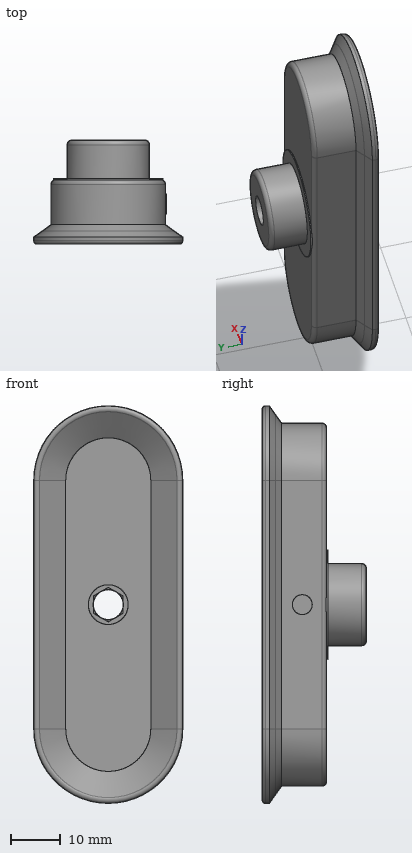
import cadquery as cq
import math

LENGTH = 80.0
WIDTH = 30.0
DEPTH = 21.0
END_OFFSET = (LENGTH - WIDTH) / 2

RIM_RADIUS = WIDTH / 2
RIM_ROUND = 0.7
RIM_EDGE = 1.4
FLANGE_STEP_RADIUS = 13.3
FLANGE_STEP_Y = 2.6
FLANGE_BACK_Y = 3.9

BODY_RADIUS = 11.5
BODY_BACK_Y = 13.0
BODY_ROUND = 1.0

PANEL_RADIUS = 8.6
PANEL_Y = 3.0
POCKET_DEPTH = 4.3

PAD_DIAMETER = 22.0
PAD_HEIGHT = 0.2
BOSS_DIAMETER = 16.6
BOSS_ROUND = 1.0

COUNTERBORE_DIAMETER = 8.0
COUNTERBORE_DEPTH = 3.7
HEX_ACROSS_FLATS = 6.0
HEX_DEPTH = 8.0
THROUGH_DIAMETER = 6.0

SIDE_PAD_DIAMETER = 4.0
SIDE_PAD_HEIGHT = 0.2
SIDE_PAD_Y = 8.1


def oval_solid(profile):
    """Carry a half profile, drawn from the Y axis outwards in +X, round an oval path."""
    outline = profile.close().val()
    middle = cq.Workplane("XY").add(outline).toPending().extrude(END_OFFSET, both=True)
    half_turn = cq.Workplane("XY").add(outline).toPending().revolve(180, (0, 0, 0), (0, -1, 0))
    top_end = half_turn.translate((0, 0, END_OFFSET))
    return middle.union(middle.mirror("YZ")).union(top_end).union(top_end.mirror("XY"))


def rod(diameter, start_y, end_y):
    """Round bar along Y through the middle of the part."""
    plane = cq.Workplane("XZ", origin=(0, start_y, 0))
    return plane.circle(diameter / 2).extrude(start_y - end_y)


def round_point(centre, radius, angle):
    """Point on a corner round; the angle is in radians, from +X towards +Y."""
    return (centre[0] + radius * math.cos(angle), centre[1] + radius * math.sin(angle))


def make_body():
    rim_centre = (RIM_RADIUS - RIM_ROUND, RIM_ROUND)
    back_centre = (BODY_RADIUS - BODY_ROUND, BODY_BACK_Y - BODY_ROUND)

    run = rim_centre[0] - PANEL_RADIUS
    rise = POCKET_DEPTH - rim_centre[1]
    wall_angle = math.atan2(rise, run) + math.asin(RIM_ROUND / math.hypot(run, rise))
    rim_start = -math.pi / 2 - wall_angle

    profile = (
        cq.Workplane("XY")
        .moveTo(0, PANEL_Y)
        .lineTo(PANEL_RADIUS, PANEL_Y)
        .lineTo(PANEL_RADIUS, POCKET_DEPTH)
        .lineTo(*round_point(rim_centre, RIM_ROUND, rim_start))
        .threePointArc(
            round_point(rim_centre, RIM_ROUND, rim_start / 2),
            (RIM_RADIUS, RIM_ROUND),
        )
        .lineTo(RIM_RADIUS, RIM_EDGE)
        .lineTo(FLANGE_STEP_RADIUS, FLANGE_STEP_Y)
        .lineTo(BODY_RADIUS, FLANGE_BACK_Y)
        .lineTo(BODY_RADIUS, back_centre[1])
        .threePointArc(
            round_point(back_centre, BODY_ROUND, math.pi / 4),
            (back_centre[0], BODY_BACK_Y),
        )
        .lineTo(0, BODY_BACK_Y)
    )
    return oval_solid(profile)


def make_back():
    root_y = BODY_BACK_Y - BODY_ROUND
    pad = rod(PAD_DIAMETER, root_y, BODY_BACK_Y + PAD_HEIGHT)
    boss = rod(BOSS_DIAMETER, root_y, DEPTH).faces(">Y").edges().fillet(BOSS_ROUND)
    return pad.union(boss)


def make_side_pad():
    plane = cq.Workplane("YZ", origin=(0, SIDE_PAD_Y, 0))
    return plane.circle(SIDE_PAD_DIAMETER / 2).extrude(BODY_RADIUS + SIDE_PAD_HEIGHT)


def make_centre_hole():
    hex_start = PANEL_Y + COUNTERBORE_DEPTH
    hex_socket = (
        cq.Workplane("XZ", origin=(0, hex_start, 0))
        .polygon(6, HEX_ACROSS_FLATS, circumscribed=True)
        .extrude(-HEX_DEPTH)
    )
    counterbore = rod(COUNTERBORE_DIAMETER, 0, hex_start)
    through = rod(THROUGH_DIAMETER, 0, DEPTH)
    return counterbore.union(hex_socket).union(through)


result = (
    make_body()
    .union(make_back())
    .union(make_side_pad())
    .cut(make_centre_hole())
)